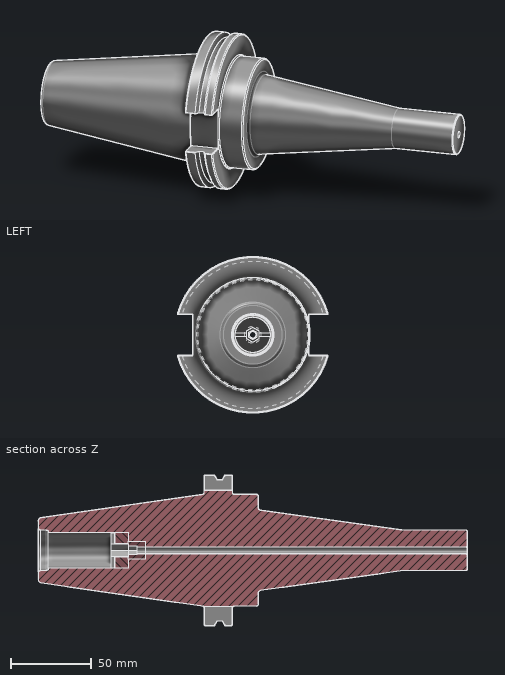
import cadquery as cq
import math


total_length = 266.8
taper_diameter = 70.0
taper_small_diameter = 40.3
taper_end_radius = 2.1

flange_start = 103.0
flange_end = 120.8
flange_diameter = 97.5
flange_chamfer = 0.67
flange_root_fillet = 0.8

groove_center = 112.8
groove_floor_width = 3.2
groove_depth = 3.0
groove_half_angle = 30

collar_diameter = 70.0
collar_end = 136.9
collar_chamfer = 0.8

nose_root_diameter = 50.5
nose_root_fillet = 2.0
shank_start = 226.8
shank_diameter = 25.3
shank_chamfer = 0.5

slot_width = 25.3
slot_chamfer = 0.4
front_slot_floor = 35.0
back_slot_floor = 37.3

entry_diameter = 26.5
counterbore_diameter = 25.0
entry_depth = 1.3
counterbore_depth = 4.8
seat_diameter = 24.3
seat_depth = 6.1
bore_diameter = 22.0
coolant_diameter = 4.0

plug_face = 45.4
plug_length = 10.7
plug_slot_width = 2.5
plug_slot_depth = 2.1
plug_hex = 8.0

screw_diameter = 10.5
screw_length = 10.7
screw_hex = 5.0
screw_hex_depth = 5.3

margin = 0.3

plug_end = plug_face + plug_length
screw_end = plug_end + screw_length


def revolve_about_x(outline):
    return outline.close().revolve(360, (0, 0, 0), (1, 0, 0))


def cylinder(diameter, start, end):
    return cq.Workplane("YZ", origin=(start, 0, 0)).circle(diameter / 2).extrude(end - start)


def hex_prism(across_flats, start, end):
    """Hexagon along X with flats facing +Y and -Y."""
    corners = across_flats / math.cos(math.pi / 6)
    return (
        cq.Workplane("YZ", origin=(start, 0, 0))
        .polygon(6, corners)
        .extrude(end - start)
        .rotate((0, 0, 0), (1, 0, 0), 30)
    )


def circle_edge(x, diameter):
    """Selects the edge that runs once around the axis at x."""
    reach = diameter / 2 + margin
    return cq.selectors.BoxSelector(
        (x - margin, -reach, -reach), (x + margin, reach, reach), boundingbox=True
    )


def groove():
    """Ring with a trapezoid section that opens beyond the flange rim."""
    floor = flange_diameter / 2 - groove_depth
    outside = flange_diameter / 2 + groove_depth
    floor_half = groove_floor_width / 2
    mouth_half = floor_half + (outside - floor) * math.tan(math.radians(groove_half_angle))
    outline = (
        cq.Workplane("XY")
        .moveTo(groove_center - floor_half, floor)
        .lineTo(groove_center + floor_half, floor)
        .lineTo(groove_center + mouth_half, outside)
        .lineTo(groove_center - mouth_half, outside)
    )
    return revolve_about_x(outline)


def turned_outside():
    rim = flange_diameter / 2
    collar = collar_diameter / 2
    shank = shank_diameter / 2
    outline = (
        cq.Workplane("XY")
        .lineTo(0, taper_small_diameter / 2)
        .lineTo(flange_start, taper_diameter / 2)
        .lineTo(flange_start, rim - flange_chamfer)
        .lineTo(flange_start + flange_chamfer, rim)
        .lineTo(flange_end - flange_chamfer, rim)
        .lineTo(flange_end, rim - flange_chamfer)
        .lineTo(flange_end, collar)
        .lineTo(collar_end - collar_chamfer, collar)
        .lineTo(collar_end, collar - collar_chamfer)
        .lineTo(collar_end, nose_root_diameter / 2)
        .lineTo(shank_start, shank)
        .lineTo(total_length - shank_chamfer, shank)
        .lineTo(total_length, shank - shank_chamfer)
        .lineTo(total_length, 0)
    )
    body = revolve_about_x(outline)
    body = body.edges(circle_edge(0, taper_small_diameter)).fillet(taper_end_radius)
    body = body.edges(circle_edge(flange_start, taper_diameter)).fillet(flange_root_fillet)
    body = body.edges(circle_edge(flange_end, collar_diameter)).fillet(flange_root_fillet)
    return body.edges(circle_edge(collar_end, nose_root_diameter)).fillet(nose_root_fillet)


def drive_slot(floor):
    """Slot through the flange on the +Y side; its walls are chamfered at both flange faces and at the rim."""
    half = slot_width / 2
    wide = half + slot_chamfer
    outside = flange_diameter / 2
    wall_top = math.sqrt(outside**2 - half**2)
    through_faces = (
        cq.Workplane("XZ", origin=(0, floor, 0))
        .moveTo(flange_start, -wide)
        .lineTo(flange_start + slot_chamfer, -half)
        .lineTo(flange_end - slot_chamfer, -half)
        .lineTo(flange_end, -wide)
        .lineTo(flange_end, wide)
        .lineTo(flange_end - slot_chamfer, half)
        .lineTo(flange_start + slot_chamfer, half)
        .lineTo(flange_start, wide)
        .close()
        .extrude(floor - outside)
    )
    through_rim = (
        cq.Workplane("YZ", origin=(flange_start, 0, 0))
        .moveTo(wall_top - slot_chamfer, -half)
        .lineTo(wall_top, -wide)
        .lineTo(outside, -wide)
        .lineTo(outside, wide)
        .lineTo(wall_top, wide)
        .lineTo(wall_top - slot_chamfer, half)
        .close()
        .extrude(flange_end - flange_start)
    )
    return through_faces.union(through_rim)


def bore():
    outline = (
        cq.Workplane("XY")
        .lineTo(0, entry_diameter / 2)
        .lineTo(entry_depth, counterbore_diameter / 2)
        .lineTo(counterbore_depth, counterbore_diameter / 2)
        .lineTo(seat_depth, seat_diameter / 2)
        .lineTo(seat_depth, bore_diameter / 2)
        .lineTo(plug_end, bore_diameter / 2)
        .lineTo(plug_end, screw_diameter / 2)
        .lineTo(screw_end, screw_diameter / 2)
        .lineTo(screw_end, coolant_diameter / 2)
        .lineTo(total_length, coolant_diameter / 2)
        .lineTo(total_length, 0)
    )
    return revolve_about_x(outline)


def make_holder():
    front_slot = drive_slot(front_slot_floor).mirror("XZ")
    back_slot = drive_slot(back_slot_floor)
    return turned_outside().cut(front_slot).cut(back_slot).cut(groove()).cut(bore())


def make_slotted_plug():
    body = cylinder(bore_diameter, plug_face, plug_end)
    slot = cq.Workplane("XY").box(
        plug_slot_depth, bore_diameter, plug_slot_width
    ).translate((plug_face + plug_slot_depth / 2, 0, 0))
    return body.cut(slot).cut(hex_prism(plug_hex, plug_face, plug_end))


def make_set_screw():
    body = cylinder(screw_diameter, plug_end, screw_end)
    socket = hex_prism(screw_hex, plug_end, plug_end + screw_hex_depth)
    return body.cut(socket).cut(cylinder(coolant_diameter, plug_end, screw_end))


holder = make_holder()
slotted_plug = make_slotted_plug()
set_screw = make_set_screw()

result = cq.Compound.makeCompound([holder.val(), slotted_plug.val(), set_screw.val()])